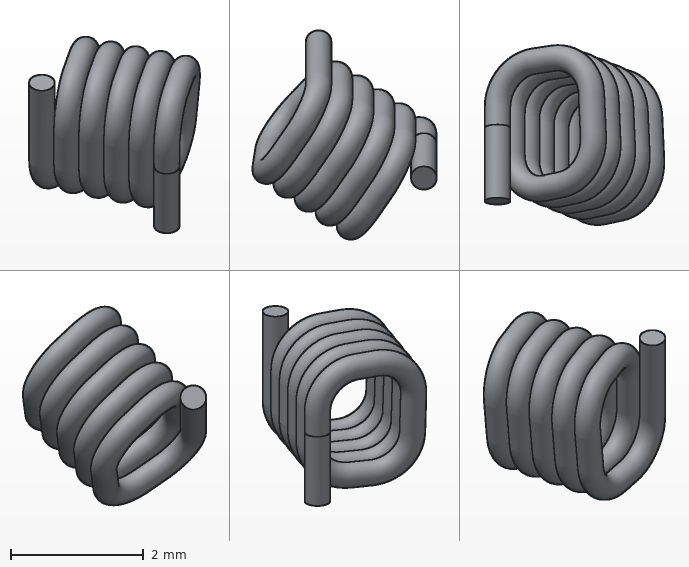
import cadquery as cq

overall_x = 2.36
overall_y = 1.98
overall_z = 2.31
wire_diameter = 0.39
turns = 5
corner_setback = 0.632
lead_end_z = 1.147

wire_radius = wire_diameter / 2
pitch = (overall_x - wire_diameter) / turns
half_y = (overall_y - wire_diameter) / 2
half_z = (overall_z - wire_diameter) / 2
first_x = -turns * pitch / 2
last_x = turns * pitch / 2

lean = pitch / (2 * half_y + 2 * half_z + 2 * half_y)
crossing_advance = lean * 2 * half_y

lead_start = cq.Vector(first_x, -half_y, lead_end_z)
joint = cq.Vector(last_x, -half_y, 0)


def turn_corners(front_x):
    """Sharp corners of one turn that starts downward at front_x."""
    next_front_x = front_x + pitch
    return [
        cq.Vector(front_x, -half_y, -half_z),
        cq.Vector(front_x + crossing_advance, half_y, -half_z),
        cq.Vector(next_front_x - crossing_advance, half_y, half_z),
        cq.Vector(next_front_x, -half_y, half_z),
    ]


def rounded_path(start, corners, end):
    """Wire of straight runs through the corners, with a tangent arc at every corner."""
    edges = []
    run_start = start
    for corner, following in zip(corners, corners[1:] + [end]):
        direction_in = (corner - run_start).normalized()
        direction_out = (following - corner).normalized()
        arc_start = corner - direction_in * corner_setback
        arc_end = corner + direction_out * corner_setback
        edges.append(cq.Edge.makeLine(run_start, arc_start))
        edges.append(cq.Edge.makeTangentArc(arc_start, direction_in, arc_end))
        run_start = arc_end
    edges.append(cq.Edge.makeLine(run_start, end))
    return cq.Wire.assembleEdges(edges)


def make_coil():
    """Wound wire, from the top of its first lead to the joint with the tail."""
    corners = []
    for turn in range(turns):
        corners += turn_corners(first_x + turn * pitch)
    path = rounded_path(lead_start, corners, joint)
    section = cq.Workplane("XY", origin=lead_start.toTuple()).circle(wire_radius)
    return section.sweep(cq.Workplane(path))


def make_tail():
    """Straight lead that continues the last turn downward from the middle height."""
    return cq.Workplane("XY", origin=joint.toTuple()).circle(wire_radius).extrude(-lead_end_z)


coil = make_coil()
tail = make_tail()

result = cq.Compound.makeCompound([coil.val(), tail.val()])